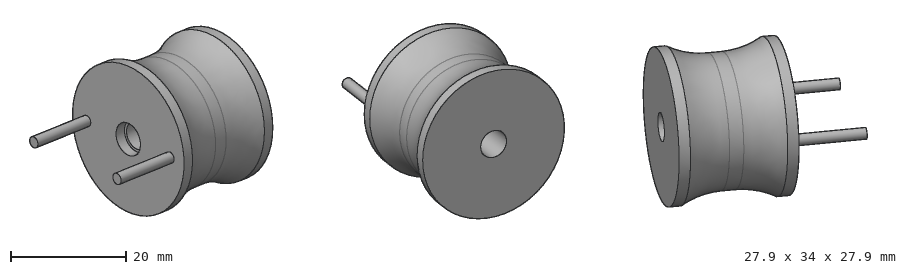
import cadquery as cq

flange_diameter = 27.94
body_length = 21.34
flange_thickness = 2.03

waist_diameter = 24.13
waist_band_length = 2.54

bore_diameter = 5.08
counterbore_diameter = 6.1
counterbore_depth = 2.03

pin_diameter = 2.08
pin_length = 12.7
pin_spacing = 20.83

flange_radius = flange_diameter / 2
waist_radius = waist_diameter / 2
half_length = body_length / 2
flange_inner_y = half_length - flange_thickness
half_band = waist_band_length / 2

arc_span = flange_inner_y - half_band
arc_rise = flange_radius - waist_radius
arc_radius = (arc_span**2 + arc_rise**2) / (2 * arc_rise)


def make_bobbin():
    """Revolve the half profile (radius along X, axis along Y)."""
    return (
        cq.Workplane("XY")
        .moveTo(0, -half_length)
        .lineTo(flange_radius, -half_length)
        .lineTo(flange_radius, -flange_inner_y)
        .radiusArc((waist_radius, -half_band), arc_radius)
        .lineTo(waist_radius, half_band)
        .radiusArc((flange_radius, flange_inner_y), arc_radius)
        .lineTo(flange_radius, half_length)
        .lineTo(0, half_length)
        .close()
        .revolve(360, (0, 0, 0), (0, 1, 0))
    )


def cylinder_from_pin_face(x, diameter, length):
    """Cylinder along Y starting on the -Y face; positive length goes into the body."""
    pin_face = cq.Workplane("XZ", origin=(x, -half_length, 0))
    return pin_face.circle(diameter / 2).extrude(-length)


result = make_bobbin()
result = result.cut(cylinder_from_pin_face(0, bore_diameter, body_length))
result = result.cut(cylinder_from_pin_face(0, counterbore_diameter, counterbore_depth))
for side in (-1, 1):
    pin = cylinder_from_pin_face(side * pin_spacing / 2, pin_diameter, -pin_length)
    result = result.union(pin)